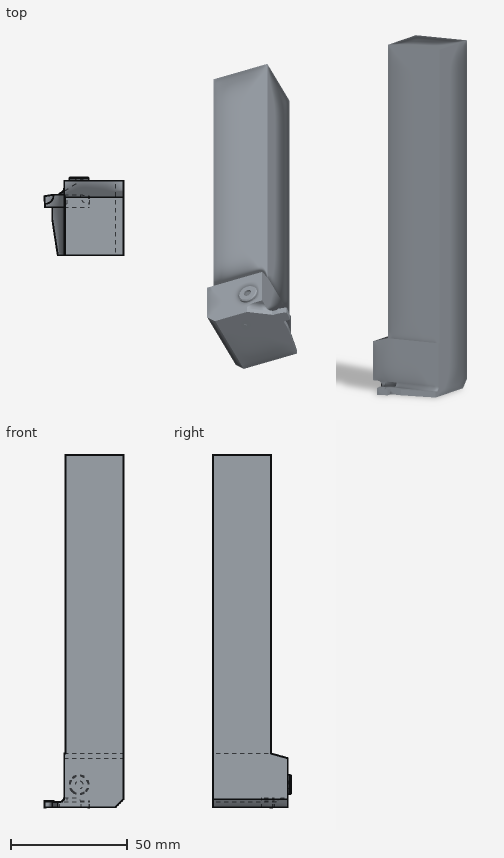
import cadquery as cq

shank_side = 25.0
tip_drop = 0.2
shank_top = 151.4 - tip_drop

head_width = 25.6
head_depth = 32.1
shoulder_front_z = 23.2
shoulder_back_z = 21.2
corner_chamfer = 3.6

ledge_height = 2.4
ledge_fillet = 1.8
ledge_reach = 30.7
ledge_front_reach = 28.3
taper_end_y = 15.6

insert_left = -34.0
insert_length = 19.4
insert_middle = insert_left + insert_length / 2
insert_front = 20.6
insert_back = 26.0
tip_back = 25.5
tip_side_relief = 0.3
tip_nose = 0.9
tip_length = 4.0
lip_height = 0.5
lip_front = 22.1
lip_mid_offset = 3.2
lip_mid_y = 23.5
drop_length = 0.6

relief_start_x = -27.7
relief_start_y = 26.3
relief_angle = 32
relief_height = ledge_height + ledge_fillet
relief_length = 22.7
relief_width = 15.1

clearance_bulge = 1.2

screw_x = -19.2
screw_z = 9.8
screw_diameter = 8.5
screw_height = 33.5 - head_depth
screw_chamfer = 0.5
socket_diameter = 3.3
socket_depth = 0.9


def make_shank():
    """Square bar that starts inside the head, above the chamfered corner."""
    return cq.Workplane("XY").box(
        shank_side, shank_side, shank_top - corner_chamfer, centered=False
    ).translate((-shank_side, 0, corner_chamfer))


def make_head():
    """Head and ledge: side and front outlines crossed, then tapered in plan."""
    front_outline = (
        cq.Workplane("XZ")
        .moveTo(-corner_chamfer, 0)
        .lineTo(0, corner_chamfer)
        .lineTo(0, shoulder_front_z)
        .lineTo(-head_width, shoulder_front_z)
        .lineTo(-head_width, ledge_height + ledge_fillet)
        .radiusArc((-head_width - ledge_fillet, ledge_height), ledge_fillet)
        .lineTo(-ledge_reach, ledge_height)
        .lineTo(-ledge_reach, 0)
        .close()
        .extrude(-head_depth)
    )
    side_outline = (
        cq.Workplane("YZ")
        .polyline([
            (0, 0),
            (head_depth, 0),
            (head_depth, shoulder_back_z),
            (shank_side, shoulder_front_z),
            (0, shoulder_front_z),
        ])
        .close()
        .extrude(-ledge_reach)
    )
    plan = (
        cq.Workplane("XY")
        .polyline([
            (0, 0),
            (-ledge_front_reach, 0),
            (-ledge_reach, taper_end_y),
            (-ledge_reach, head_depth),
            (0, head_depth),
        ])
        .close()
        .extrude(shoulder_front_z)
    )
    return front_outline.intersect(side_outline).intersect(plan)


def make_relief():
    """Slanting clearance cut with a rounded upper inner edge, open at the bottom."""
    return (
        cq.Workplane("XY")
        .box(relief_length, relief_width, relief_height, centered=(True, False, False))
        .edges("|X and <Y and >Z")
        .fillet(ledge_fillet)
        .rotate((0, 0, 0), (0, 0, 1), relief_angle)
        .translate((relief_start_x, relief_start_y, 0))
    )


def make_corner_trim():
    """Removes the end of the ledge beyond the insert's back face."""
    return cq.Workplane("XY").box(
        ledge_reach + relief_start_x, head_depth - insert_front, ledge_height, centered=False
    ).translate((-ledge_reach, insert_front, 0))


def insert_plan():
    right = insert_left + insert_length
    return (
        cq.Workplane("XY")
        .polyline([
            (insert_left + tip_side_relief, insert_front),
            (insert_left, tip_back - tip_nose),
            (insert_left, tip_back),
            (insert_left + tip_length, insert_back),
            (right - tip_length, insert_back),
            (right, tip_back),
            (right, tip_back - tip_nose),
            (right - tip_side_relief, insert_front),
        ])
        .close()
    )


def make_left_tip():
    """Raised cutting lip with a round inner edge, and a small drop below it."""
    lip_end_x = insert_left + tip_length
    lip_mid = (insert_left + lip_mid_offset, lip_mid_y)
    lip = (
        cq.Workplane("XY", origin=(0, 0, ledge_height))
        .moveTo(insert_left, tip_back - tip_nose)
        .lineTo(insert_left + tip_side_relief, lip_front)
        .threePointArc(lip_mid, (lip_end_x, insert_back))
        .lineTo(insert_left, tip_back)
        .close()
        .extrude(lip_height)
    )
    drop = (
        cq.Workplane("XY", origin=(0, 0, -tip_drop))
        .rect(drop_length, tip_nose)
        .extrude(tip_drop)
        .translate((insert_left + drop_length / 2, tip_back - tip_nose / 2, 0))
    )
    return lip.union(drop)


def make_insert():
    left_tip = make_left_tip()
    right_tip = left_tip.mirror("YZ", (insert_middle, 0, 0))
    return insert_plan().extrude(ledge_height).union(left_tip).union(right_tip)


def make_screw_head():
    return (
        cq.Workplane("XZ", origin=(screw_x, head_depth, screw_z))
        .circle(screw_diameter / 2)
        .extrude(-screw_height)
        .faces(">Y")
        .chamfer(screw_chamfer)
    )


def make_socket():
    return (
        cq.Workplane("XZ", origin=(screw_x, head_depth + screw_height, screw_z))
        .circle(socket_diameter / 2)
        .extrude(socket_depth)
    )


def make_insert_pocket():
    """Room for the insert, including the fillet above its projecting end."""
    fillet_clearance = (
        cq.Workplane("XY")
        .moveTo(-ledge_reach, insert_front)
        .lineTo(-head_width, insert_front)
        .threePointArc(
            (-head_width + clearance_bulge, (insert_front + insert_back) / 2),
            (-head_width, insert_back),
        )
        .lineTo(-ledge_reach, insert_back)
        .close()
        .extrude(relief_height)
    )
    return fillet_clearance.union(make_insert())


insert = make_insert()
holder = (
    make_shank()
    .union(make_head())
    .union(make_screw_head())
    .cut(make_socket())
    .cut(make_relief())
    .cut(make_corner_trim())
    .cut(make_insert_pocket())
)

result = cq.Compound.makeCompound([holder.solids().val(), insert.solids().val()])